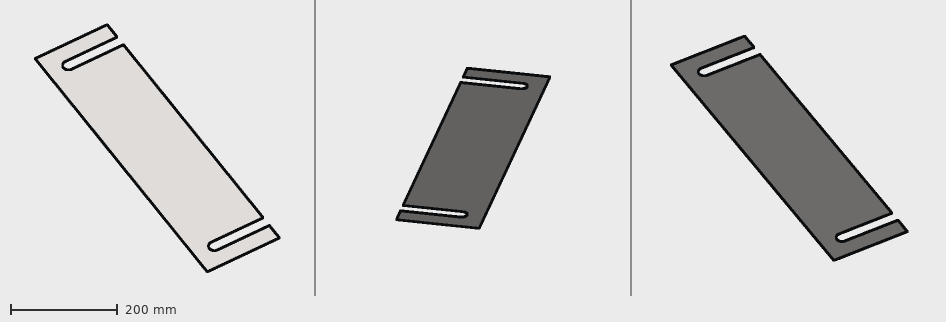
import cadquery as cq

length = 614.38
width = 158.75
thickness = 1.59

slot_spacing = 520.7
slot_width = 22.2
slot_depth = 125.4


def open_slot(center_x):
    """Cutter for one slot: straight sides from the +Y edge, half-round inner end."""
    radius = slot_width / 2
    edge_y = width / 2
    end_y = edge_y - slot_depth
    arc_start_y = end_y + radius
    return (
        cq.Workplane("XY")
        .moveTo(center_x - radius, edge_y)
        .lineTo(center_x - radius, arc_start_y)
        .threePointArc((center_x, end_y), (center_x + radius, arc_start_y))
        .lineTo(center_x + radius, edge_y)
        .close()
        .extrude(thickness)
    )


result = cq.Workplane("XY").box(length, width, thickness, centered=(True, True, False))
for side in (-1, 1):
    result = result.cut(open_slot(side * slot_spacing / 2))